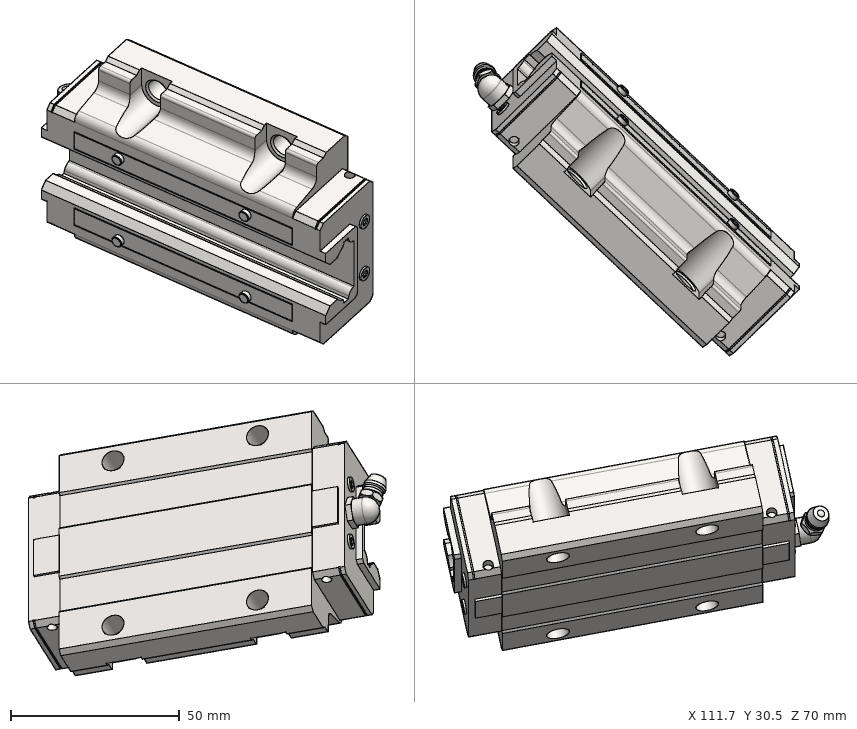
import cadquery as cq
import math


block_length = 78.7
flange_half_width = 35.0
flange_depth = 16.1
body_depth = 28.6
body_half_width = 23.8
shoulder_root_half_width = 26.4
rear_chamfer_depth = 1.7
rear_chamfer_width = 1.3
flange_step_start = 11.2
flange_step_end = 12.6
flange_step_height = 1.1
flange_edge_radius = 0.9
root_radius = 3.0
shoulder_radius = 2.8
relief_depth = 0.7
relief_inner_half_width = 8.3
relief_outer_half_width = 20.8

hole_spacing_x = 45.0
hole_spacing_z = 57.2
hole_diameter = 6.8
hole_mouth_diameter = 8.0
spotface_depth = 10.1
spotface_radius = 5.5

cap_half_width = 23.1
cap_rear_depth = 1.1
cap_chamfer = 1.7
groove_start_x = 47.4
groove_end_x = 47.9
groove_depth = 0.2
cap_end_x = 49.3
seal_end_x = 51.3
seal_half_width = 13.6
seal_rear_depth = 12.2
seal_chamfer = 1.0
cap_pad_half_width = 6.3
cap_pad_depth = 0.3
side_port_diameter = 3.0
side_port_x = 42.8
side_port_depth_y = 4.0
side_port_length = 3.4

screw_diameter = 4.5
screw_height = 0.7
screw_z = 10.0
screw_socket_across_corners = 2.5
screw_socket_depth = 0.5
cap_axis_depth = 6.1

strip_inner_z = 11.4
strip_outer_z = 17.8
strip_height = 0.3
pin_diameter = 3.5
pin_tip_depth = 30.5
pin_tip_chamfer = 0.2
pin_spacing_x = 45.8
pin_z = 15.7

base_hex_across_flats = 8.2
base_hex_height = 1.8
elbow_diameter = 8.0
elbow_x = -54.3
stem_tilt = 20.0
stem_hex_across_flats = 6.8
stem_core_radius = 2.3
stem_hex_start = 3.2
stem_hex_end = 5.6
stem_hex_bevel = 0.5
collar_diameter = 6.1
collar_end = 6.5
neck_diameter = 6.0
neck_end = 7.2
head_diameter = 6.8
head_start = 7.6
head_shoulder = 8.5
tip_diameter = 4.9
tip_end = 11.2
ball_diameter = 2.2
ball_height = 0.3


def mirrored(half_outline):
    """Complete a list of (depth, z) points with its mirror image below Z = 0."""
    return half_outline + [(depth, -z) for depth, z in reversed(half_outline)]


def extrude_outline(outline, start_x, end_x):
    """Extrude a closed outline of (depth, z) points along X."""
    points = [(-depth, z) for depth, z in outline]
    return cq.Workplane("YZ").workplane(offset=start_x).polyline(points).close().extrude(end_x - start_x)


def edges_along_x(solid, depth, z):
    """Select the X-direction edges through (depth, +z) and (depth, -z)."""
    size = 0.1
    upper = cq.selectors.BoxSelector((-block_length, -depth - size, z - size),
                                     (block_length, -depth + size, z + size))
    lower = cq.selectors.BoxSelector((-block_length, -depth - size, -z - size),
                                     (block_length, -depth + size, -z + size))
    return solid.edges("|X").edges(upper + lower)


def make_block():
    lip_half_width = flange_half_width - flange_step_height
    block = extrude_outline(
        mirrored([
            (0, flange_half_width - rear_chamfer_width),
            (rear_chamfer_depth, flange_half_width),
            (flange_step_start, flange_half_width),
            (flange_step_end, lip_half_width),
            (flange_depth, lip_half_width),
            (flange_depth, shoulder_root_half_width),
            (body_depth, body_half_width),
        ]),
        -block_length / 2, block_length / 2)
    block = edges_along_x(block, flange_depth, lip_half_width).fillet(flange_edge_radius)
    block = edges_along_x(block, flange_depth, shoulder_root_half_width).fillet(root_radius)
    block = edges_along_x(block, body_depth, body_half_width).fillet(shoulder_radius)
    for side in (1, -1):
        relief = extrude_outline(
            [
                (0, side * relief_inner_half_width),
                (relief_depth, side * (relief_inner_half_width + relief_depth)),
                (relief_depth, side * (relief_outer_half_width - relief_depth)),
                (0, side * relief_outer_half_width),
            ],
            -block_length / 2, block_length / 2)
        block = block.cut(relief)
    return block


def make_mounting_hole_cut(x, side):
    """Through hole with a conical mouth and a round-ended spotface that opens to the flange edge."""
    z = side * hole_spacing_z / 2
    mouth_depth = (hole_mouth_diameter - hole_diameter) / 2
    beyond = 1.1
    front = body_depth + beyond
    spotface = cq.Workplane("XZ").workplane(offset=spotface_depth).center(x, z)
    cut = spotface.circle(spotface_radius).extrude(front - spotface_depth)
    open_end = flange_half_width - abs(z) + beyond
    cut = cut.union(
        spotface.center(0, side * open_end / 2).rect(2 * spotface_radius, open_end)
        .extrude(front - spotface_depth))
    cut = cut.union(cq.Workplane("XZ").center(x, z).circle(hole_diameter / 2).extrude(front))
    mouth = (
        spotface.circle(hole_mouth_diameter / 2)
        .workplane(offset=-mouth_depth).circle(hole_diameter / 2).loft())
    return cut.union(mouth)


def cap_outline(half_width):
    """Outline of an end cap with chamfered outer corners."""
    return mirrored([
        (cap_rear_depth, half_width - cap_chamfer),
        (cap_rear_depth + cap_chamfer, half_width),
        (body_depth - cap_chamfer, half_width),
        (body_depth, half_width - cap_chamfer),
    ])


def make_screw_head(side):
    """Round screw head with a hexagonal socket, standing on the end of the cap."""
    head = (
        cq.Workplane("YZ").workplane(offset=cap_end_x).center(-cap_axis_depth, side * screw_z)
        .circle(screw_diameter / 2).extrude(screw_height))
    return head.faces(">X").workplane().polygon(6, screw_socket_across_corners).cutBlind(-screw_socket_depth)


def make_end_cap():
    """End cap at the +X end: body, groove, end plate, seal tongue, rear pad, ports and screws."""
    cap = extrude_outline(cap_outline(cap_half_width), block_length / 2, groove_start_x)
    cap = cap.union(extrude_outline(cap_outline(cap_half_width - groove_depth), groove_start_x, groove_end_x))
    cap = cap.union(extrude_outline(cap_outline(cap_half_width), groove_end_x, cap_end_x))
    seal = extrude_outline(
        mirrored([
            (seal_rear_depth, seal_half_width - seal_chamfer),
            (seal_rear_depth + seal_chamfer, seal_half_width),
            (body_depth, seal_half_width),
        ]),
        cap_end_x, seal_end_x)
    pad = extrude_outline(
        mirrored([(cap_pad_depth, cap_pad_half_width), (cap_rear_depth, cap_pad_half_width)]),
        block_length / 2, groove_start_x)
    cap = cap.union(seal).union(pad)
    for side in (1, -1):
        port = (
            cq.Workplane("XY").workplane(offset=side * cap_half_width)
            .center(side_port_x, -side_port_depth_y)
            .circle(side_port_diameter / 2).extrude(-side * side_port_length))
        cap = cap.cut(port).union(make_screw_head(side))
    return cap


def make_channel_cut():
    """Rail channel: flat floor, relief grooves and two curved ball races on each side."""
    beyond = 1.1

    def side_points(side):
        return [(-depth, side * z) for depth, z in (
            (14.1, 8.6),
            (14.5, 8.8),
            (15.9, 9.5),
            (16.7, 10.7),
            (17.0, 11.6),
            (19.1, 11.6),
            (19.5, 10.3),
            (21.4, 9.2),
            (22.5, 7.9),
            (26.4, 7.9),
            (body_depth, 10.2),
            (body_depth + beyond, 10.2),
        )]

    half_channels = []
    for side in (1, -1):
        (floor, rear_start, rear_middle, rear_end, relief_rear, relief_front,
         front_start, front_middle, front_end, bevel, mouth, outside) = side_points(side)
        half_channels.append(
            cq.Workplane("YZ").workplane(offset=-seal_end_x)
            .moveTo(floor[0], 0).lineTo(*floor).lineTo(*rear_start)
            .threePointArc(rear_middle, rear_end)
            .lineTo(*relief_rear).lineTo(*relief_front).lineTo(*front_start)
            .threePointArc(front_middle, front_end)
            .lineTo(*bevel).lineTo(*mouth).lineTo(*outside).lineTo(outside[0], 0)
            .close().extrude(2 * seal_end_x))
    return half_channels[0].union(half_channels[1])


def make_front_strip(side):
    """Raised strip on the front face with two pins standing on it."""
    strip = extrude_outline(
        [
            (body_depth, side * strip_inner_z),
            (body_depth + strip_height, side * strip_inner_z),
            (body_depth + strip_height, side * strip_outer_z),
            (body_depth, side * strip_outer_z),
        ],
        -block_length / 2, block_length / 2)
    pins = (
        cq.Workplane("XZ").workplane(offset=body_depth).center(0, side * pin_z)
        .rarray(pin_spacing_x, 1.1, 2, 1).circle(pin_diameter / 2).extrude(pin_tip_depth - body_depth)
        .faces("<Y").chamfer(pin_tip_chamfer))
    return strip.union(pins)


def make_carriage():
    carriage = make_block()
    for x in (-hole_spacing_x / 2, hole_spacing_x / 2):
        for side in (1, -1):
            carriage = carriage.cut(make_mounting_hole_cut(x, side))
    end_cap = make_end_cap()
    carriage = carriage.union(end_cap).union(end_cap.mirror("YZ"))
    carriage = carriage.cut(make_channel_cut())
    for side in (1, -1):
        carriage = carriage.union(make_front_strip(side))
    return carriage


def revolve_about_z(outline):
    """Revolve (radius, z) points about the Z axis."""
    return cq.Workplane("XZ").polyline(outline).close().revolve(360, (0, 0, 0), (0, 1, 0))


def make_stem():
    """Upright nipple stem on the Z axis: beveled hexagon, collar, neck, conical head and check ball."""
    corner_radius = stem_hex_across_flats / math.sqrt(3)
    collar_radius = collar_diameter / 2
    neck_radius = neck_diameter / 2
    head_radius = head_diameter / 2
    ball_radius = ball_diameter / 2
    hexagon = cq.Workplane("XY").polygon(6, 2 * corner_radius).extrude(stem_hex_end)
    hexagon = hexagon.intersect(revolve_about_z([
        (0, stem_hex_start),
        (corner_radius - stem_hex_bevel, stem_hex_start),
        (corner_radius, stem_hex_start + stem_hex_bevel),
        (corner_radius, stem_hex_end - (corner_radius - collar_radius)),
        (collar_radius, stem_hex_end),
        (0, stem_hex_end),
    ]))
    turned = revolve_about_z([
        (0, 0),
        (stem_core_radius, 0),
        (stem_core_radius, stem_hex_end),
        (collar_radius, stem_hex_end),
        (collar_radius, collar_end),
        (neck_radius, collar_end),
        (neck_radius, neck_end),
        (head_radius, head_start),
        (head_radius, head_shoulder),
        (tip_diameter / 2, tip_end),
        (0, tip_end),
    ])
    check_ball = (
        cq.Workplane("XZ").moveTo(0, tip_end).lineTo(ball_radius, tip_end)
        .radiusArc((0, tip_end + ball_height), -(ball_radius**2 + ball_height**2) / (2 * ball_height))
        .close().revolve(360, (0, tip_end, 0), (0, tip_end + 1.1, 0)))
    return hexagon.union(turned).union(check_ball)


def make_grease_nipple():
    """Elbow nipple on the -X end plate, with its stem leaning away from the carriage."""
    elbow_radius = elbow_diameter / 2
    base = (
        cq.Workplane("YZ").workplane(offset=-cap_end_x).center(-cap_axis_depth, 0)
        .polygon(6, base_hex_across_flats * 2 / math.sqrt(3)).extrude(-base_hex_height))
    elbow = (
        cq.Workplane("YZ").workplane(offset=-cap_end_x).center(-cap_axis_depth, 0)
        .circle(elbow_radius).extrude(elbow_x + cap_end_x))
    ball = cq.Workplane("XY").sphere(elbow_radius).rotate((0, 0, 0), (0, 1, 0), 90)
    stem = make_stem().rotate((0, 0, 0), (0, 1, 0), -stem_tilt)
    elbow_centre = (elbow_x, -cap_axis_depth, 0)
    return base.union(elbow).union(ball.translate(elbow_centre)).union(stem.translate(elbow_centre))


carriage = make_carriage()
grease_nipple = make_grease_nipple()

result = cq.Compound.makeCompound([carriage.val(), grease_nipple.val()])